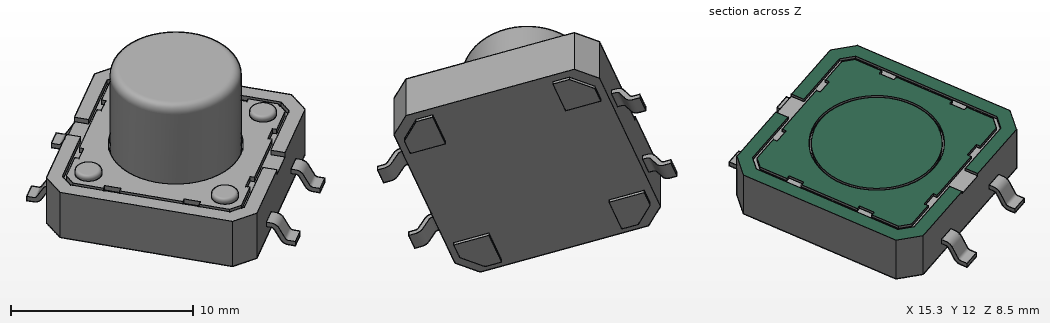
import cadquery as cq
import math

overall_length = 15.3
overall_height = 8.5
body_side = 12.0
body_corner = 1.09
body_bottom = 0.2
body_top = 3.3

recess_side = 10.37
recess_corner = 0.65
recess_depth = 0.3
recess_floor = body_top - recess_depth
slot_width = 1.62
plate_side = 9.98
plate_corner = 0.54
notch_width = 0.92
notch_depth = 0.25
notch_offset = 2.26
opening_diameter = 7.4

button_diameter = 7.2
button_round = 0.5
rivet_diameter = 1.5
rivet_top = 3.61
rivet_round = 0.2
rivet_offset = 3.89

foot_outer = 5.55
foot_side = 2.05

lead_width = 1.0
lead_thickness = 0.3
lead_offset = 2.51
lead_drop = 1.0
lead_shoulder = 0.28
lead_bend_radius = 0.35
lead_slope = math.radians(60)
lead_root = 0.3


def chamfered_block(side, corner, bottom, top):
    """Square block centred on the Z axis with its four upright edges cut off."""
    block = cq.Workplane("XY").workplane(offset=bottom).rect(side, side).extrude(top - bottom)
    return block.edges("|Z").chamfer(corner)


def cylinder(diameter, bottom, top):
    return cq.Workplane("XY").workplane(offset=bottom).circle(diameter / 2).extrude(top - bottom)


def make_body():
    body = chamfered_block(body_side, body_corner, body_bottom, body_top)
    recess = chamfered_block(recess_side, recess_corner, recess_floor, body_top)
    slot = (
        cq.Workplane("XY")
        .workplane(offset=recess_floor)
        .rect(body_side, slot_width)
        .extrude(recess_depth)
    )
    return body.cut(recess).cut(slot)


def make_plate():
    plate = chamfered_block(plate_side, plate_corner, recess_floor, body_top)
    plate = plate.cut(cylinder(opening_diameter, recess_floor, body_top))
    edge_notches = (
        cq.Workplane("XY")
        .workplane(offset=recess_floor)
        .pushPoints([(-notch_offset, plate_side / 2), (notch_offset, plate_side / 2)])
        .rect(notch_width, 2 * notch_depth)
        .extrude(recess_depth)
    )
    for turn in range(4):
        plate = plate.cut(edge_notches.rotate((0, 0, 0), (0, 0, 1), 90 * turn))
    return plate


def make_button():
    return cylinder(button_diameter, recess_floor, overall_height).faces(">Z").edges().fillet(button_round)


def make_rivet():
    rivet = cylinder(rivet_diameter, recess_floor, rivet_top).faces(">Z").edges().fillet(rivet_round)
    return rivet.translate((rivet_offset, rivet_offset, 0))


def make_foot():
    """Foot under the +X +Y corner, its outer edge cut off like the body corner."""
    foot_centre = foot_outer - foot_side / 2
    foot = cq.Workplane("XY").center(foot_centre, foot_centre).rect(foot_side, foot_side).extrude(body_bottom)
    return foot.edges("|Z and >(1,1,0)").chamfer(body_corner)


def make_lead():
    """Gull-wing lead on the +X side, swept along its centre line."""
    bend_run = lead_bend_radius * math.sin(lead_slope)
    bend_drop = lead_bend_radius * (1 - math.cos(lead_slope))
    straight_drop = lead_drop - 2 * bend_drop
    straight_run = straight_drop / math.tan(lead_slope)
    root_x = body_side / 2 - lead_root
    root_z = lead_drop + lead_thickness / 2
    path = (
        cq.Workplane("XZ")
        .moveTo(root_x, root_z)
        .hLine(lead_root + lead_shoulder)
        .tangentArcPoint((bend_run, -bend_drop))
        .line(straight_run, -straight_drop)
        .tangentArcPoint((bend_run, -bend_drop))
        .hLineTo(overall_length / 2)
    )
    section = cq.Workplane("YZ", origin=(root_x, 0, root_z)).rect(lead_width, lead_thickness)
    return section.sweep(path).translate((0, lead_offset, 0))


def at_four_corners(shape):
    """Copy a shape from the +X +Y corner to all four corners by mirroring."""
    pair = shape.union(shape.mirror("YZ"))
    return pair.union(pair.mirror("XZ"))


result = make_body().union(make_plate()).union(make_button())
for corner_part in (make_rivet(), make_foot(), make_lead()):
    result = result.union(at_four_corners(corner_part))